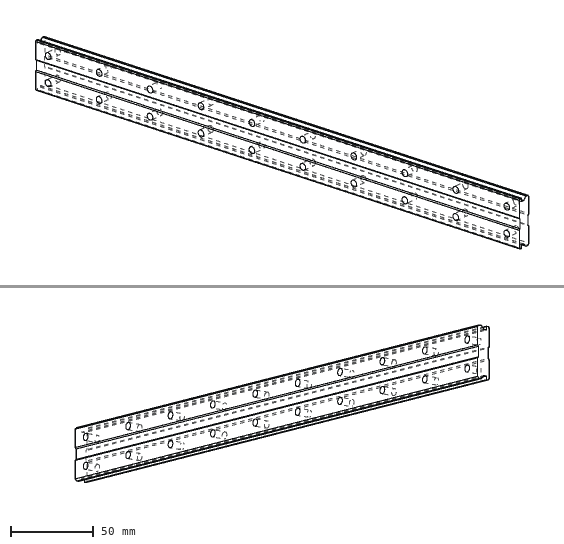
import cadquery as cq

length = 380.0
thickness = 9.0
height = 33.0

holes_per_row = 10
hole_rows = 2
end_margin = 10.0
hole_pitch = (length - 2 * end_margin) / (holes_per_row - 1)
row_spacing = 18.0
hole_radius = 2.2

front_flange = 2.0
slot_floor_width = 2.0
slot_depth = 2.3
slot_mouth_width = slot_floor_width + slot_depth

front_bevel = 0.8
rear_bevel = 1.0

relief_depth = 0.8
relief_mouth_width = 8.0
relief_floor_width = relief_mouth_width - 2 * relief_depth

front = -thickness / 2
rear = thickness / 2
top = height / 2


def make_body():
    """Extrude the Y-Z section, symmetric about its middle height, along X."""
    slot_front = front + front_flange
    slot_floor = top - slot_depth
    upper_half = [
        (front + relief_depth, relief_floor_width / 2),
        (front, relief_mouth_width / 2),
        (front, top - front_bevel),
        (front + front_bevel, top),
        (slot_front, top),
        (slot_front, slot_floor),
        (slot_front + slot_floor_width, slot_floor),
        (slot_front + slot_mouth_width, top),
        (rear - rear_bevel, top),
        (rear, top - rear_bevel),
        (rear, relief_mouth_width / 2),
        (rear - relief_depth, relief_floor_width / 2),
    ]
    lower_half = [(y, -z) for y, z in reversed(upper_half)]
    section = cq.Workplane("YZ").polyline(upper_half + lower_half).close()
    return section.extrude(length / 2, both=True)


def drill_holes(body):
    """Cut the plain mounting holes through the rail along Y."""
    drills = (
        cq.Workplane("XZ")
        .rarray(hole_pitch, row_spacing, holes_per_row, hole_rows)
        .circle(hole_radius)
        .extrude(thickness, both=True)
    )
    return body.cut(drills)


result = drill_holes(make_body())